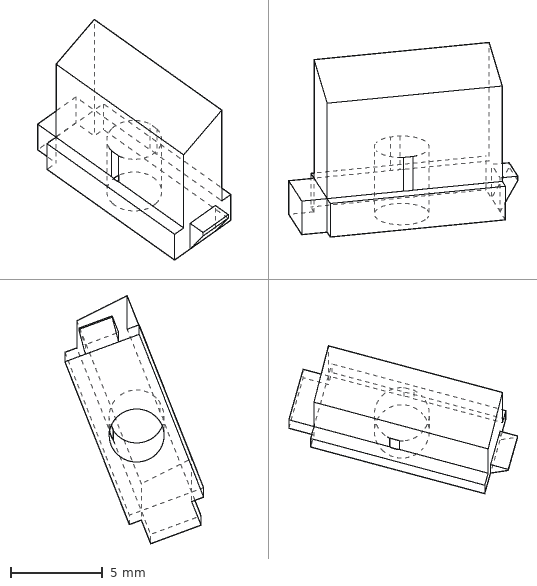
import cadquery as cq
import math

total_length = 12.3
total_height = 9.04

base_width = 4.35
base_height = 2.0

block_length = 1.43
catch_length = 1.0
catch_width = 1.95
catch_angle = 30.0

body_length = total_length - block_length - catch_length
body_thickness = 2.95
top_angle = 25.0

bore_diameter = 3.0
bore_depth = 4.0
bore_to_block_end = 6.0

block_end_x = -bore_to_block_end
body_start_x = block_end_x + block_length
body_end_x = body_start_x + body_length


def box_between(start_x, length, width, height):
    """Box standing on Z = 0, centred on Y, running toward +X from start_x."""
    box = cq.Workplane("XY").box(length, width, height, centered=(False, True, False))
    return box.translate((start_x, 0, 0))


def make_body():
    half = body_thickness / 2
    front_height = total_height - body_thickness * math.tan(math.radians(top_angle))
    profile = [(-half, 0), (half, 0), (half, total_height), (-half, front_height)]
    body = cq.Workplane("YZ").polyline(profile).close().extrude(body_length)
    return body.translate((body_start_x, 0, 0))


def make_catch():
    """Wedge with a flat top, a short upright lip and a sloped underside."""
    tip_x = body_end_x + catch_length
    lip_bottom = catch_length / math.tan(math.radians(catch_angle))
    profile = [
        (body_end_x, 0),
        (tip_x, lip_bottom),
        (tip_x, base_height),
        (body_end_x, base_height),
    ]
    return cq.Workplane("XZ").polyline(profile).close().extrude(catch_width / 2, both=True)


def make_bore():
    return cq.Workplane("XY").circle(bore_diameter / 2).extrude(bore_depth)


base = box_between(body_start_x, body_length, base_width, base_height)
end_block = box_between(block_end_x, block_length, body_thickness, base_height)

result = base.union(end_block).union(make_body()).union(make_catch()).cut(make_bore())